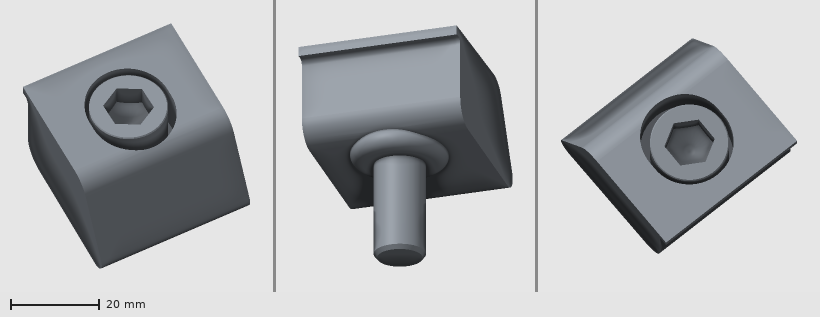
import cadquery as cq
import math


BLOCK_DEPTH = 38.1
BLOCK_LEFT = -15.25
BLOCK_RIGHT = BLOCK_LEFT + 38.1
BLOCK_TOP = 48.5
BASE_Z = 22.7
LIP_LENGTH = 2.42
LIP_THICKNESS = 2.25
LIP_FILLET = 1.45
TOP_SLOPE = math.tan(math.radians(4.6))
BOTTOM_ANGLE = math.radians(6.8)
NOSE_ANGLE = math.radians(25.3)
HEEL_RADIUS = 6.0
SHOULDER_RADIUS = 6.5
TOE_RADIUS = 3.0

SLOT_WIDTH = 20.0
SLOT_LENGTH = 21.95
SLOT_CENTER_X = 0.95

WASHER_DIAMETER = 22.7
WASHER_RIM_RADIUS = 2.8
WASHER_TOP = BASE_Z + 2 * WASHER_RIM_RADIUS

SHANK_DIAMETER = 11.95
TIP_CHAMFER_HEIGHT = 0.95
TIP_CHAMFER_WIDTH = 0.8
HEAD_DIAMETER = 18.0
HEAD_CHAMFER = 0.25
HEAD_TOP = 47.1
HEAD_HEIGHT = 12.0
HEAD_BOTTOM = HEAD_TOP - HEAD_HEIGHT
HEX_FLATS = 10.0
HEX_CORNERS = HEX_FLATS / math.cos(math.pi / 6)
SOCKET_DEPTH = 5.1
SOCKET_CONE_HEIGHT = HEX_CORNERS / 2 / math.tan(math.radians(60))


def make_washer():
    flat_radius = WASHER_DIAMETER / 2 - WASHER_RIM_RADIUS
    bore_radius = SHANK_DIAMETER / 2
    return (
        cq.Workplane("XZ")
        .moveTo(bore_radius, BASE_Z)
        .lineTo(flat_radius, BASE_Z)
        .threePointArc((WASHER_DIAMETER / 2, BASE_Z + WASHER_RIM_RADIUS), (flat_radius, WASHER_TOP))
        .lineTo(bore_radius, WASHER_TOP)
        .close()
        .revolve(360, (0, 0), (0, 1))
    )


def make_screw():
    shank_radius = SHANK_DIAMETER / 2
    head_radius = HEAD_DIAMETER / 2
    screw = (
        cq.Workplane("XZ")
        .polyline([
            (0, 0),
            (shank_radius - TIP_CHAMFER_WIDTH, 0),
            (shank_radius, TIP_CHAMFER_HEIGHT),
            (shank_radius, HEAD_BOTTOM),
            (head_radius, HEAD_BOTTOM),
            (head_radius, HEAD_TOP - HEAD_CHAMFER),
            (head_radius - HEAD_CHAMFER, HEAD_TOP),
            (0, HEAD_TOP),
        ])
        .close()
        .revolve(360, (0, 0), (0, 1))
    )
    return screw.cut(make_socket())


def make_socket():
    """Hexagonal prism whose lower end is a cone reaching the hexagon's corners."""
    floor_z = HEAD_TOP - SOCKET_DEPTH
    tip_z = floor_z - SOCKET_CONE_HEIGHT
    hexagon = cq.Workplane("XY", origin=(0, 0, tip_z)).polygon(6, HEX_CORNERS).extrude(HEAD_TOP - tip_z)
    drill = (
        cq.Workplane("XZ")
        .polyline([(0, tip_z), (HEX_CORNERS / 2, floor_z), (HEX_CORNERS / 2, HEAD_TOP), (0, HEAD_TOP)])
        .close()
        .revolve(360, (0, 0), (0, 1))
    )
    return hexagon.intersect(drill)


def make_block_outline():
    """Corner points of the block before rounding, from the upper left, counterclockwise."""
    wall_x = BLOCK_LEFT + LIP_LENGTH
    lip_z = BLOCK_TOP - LIP_THICKNESS
    bottom_slope = math.tan(BOTTOM_ANGLE)
    nose_run = math.tan(NOSE_ANGLE)

    toe_x = BLOCK_RIGHT - TOE_RADIUS
    toe_z = BASE_Z + TOE_RADIUS
    bottom_at_toe = toe_z - TOE_RADIUS / math.cos(BOTTOM_ANGLE)
    nose_at_toe = toe_x + TOE_RADIUS / math.cos(NOSE_ANGLE)

    heel_z = bottom_at_toe + bottom_slope * (toe_x - wall_x)
    corner_rise = (
        (bottom_at_toe - bottom_slope * (nose_at_toe - toe_x) - toe_z) / (1 - bottom_slope * nose_run)
    )
    shoulder_rise = (
        (BLOCK_TOP - TOP_SLOPE * (nose_at_toe - BLOCK_LEFT) - toe_z) / (1 - TOP_SLOPE * nose_run)
    )
    toe = (nose_at_toe - nose_run * corner_rise, toe_z + corner_rise)
    shoulder = (nose_at_toe - nose_run * shoulder_rise, toe_z + shoulder_rise)
    return [
        (BLOCK_LEFT, BLOCK_TOP),
        (BLOCK_LEFT, lip_z),
        (wall_x, lip_z),
        (wall_x, heel_z),
        toe,
        shoulder,
    ]


def make_block():
    outline = make_block_outline()
    block = cq.Workplane("XZ").polyline(outline).close().extrude(BLOCK_DEPTH / 2, both=True)
    corner_radii = [LIP_FILLET, HEEL_RADIUS, TOE_RADIUS, SHOULDER_RADIUS]
    for (x, z), radius in zip(outline[2:], corner_radii):
        block = block.edges(cq.selectors.NearestToPointSelector((x, 0, z))).fillet(radius)

    slot = (
        cq.Workplane("XY", origin=(0, 0, HEAD_BOTTOM))
        .center(SLOT_CENTER_X, 0)
        .slot2D(SLOT_LENGTH, SLOT_WIDTH)
        .extrude(BLOCK_TOP - HEAD_BOTTOM)
    )
    shank_hole = cq.Workplane("XY").circle(SHANK_DIAMETER / 2).extrude(HEAD_BOTTOM)
    return block.cut(slot).cut(shank_hole).cut(make_washer())


block = make_block()
washer = make_washer()
screw = make_screw()

result = cq.Compound.makeCompound([*block.solids().vals(), washer.val(), *screw.solids().vals()])